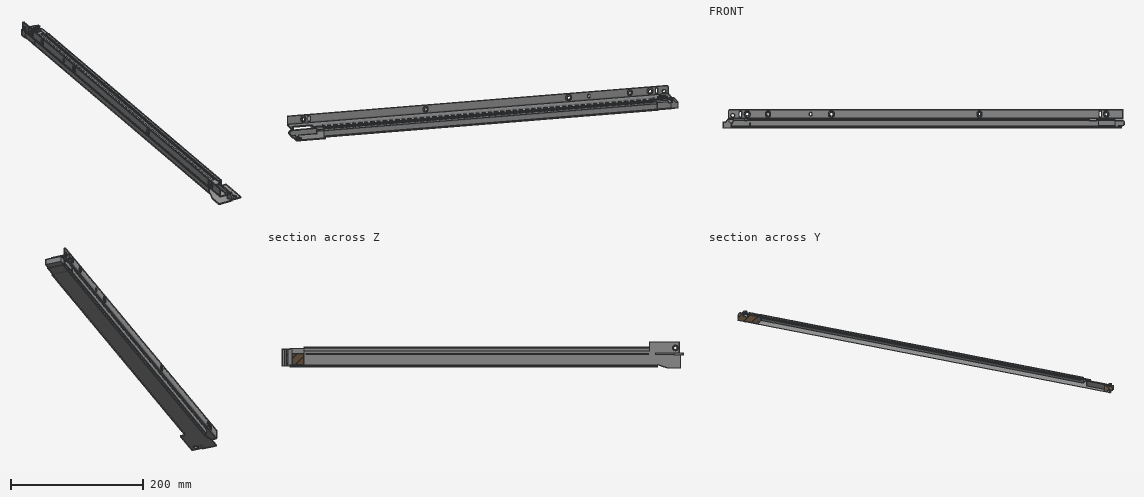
import math

import cadquery as cq

LENGTH = 606.5
HEIGHT = 28.0
SHEET = 1.5

UPPER_START = 8.0
UPPER_END = 604.0
FLANGE_TOP = 15.0
FLANGE_UNDER = FLANGE_TOP - SHEET
FLANGE_SLOPE_START = 16.5
FLANGE_REACH = 22.0
FLANGE_FALL = 1.5
FLANGE_EDGE = 0.5
LIP_BOTTOM = 11.5
LIP_START = 36.0
LIP_END = 554.0
WALL_BEND = 2.1
WALL_CORNER = 2.0
NOTCH_START = 569.5
NOTCH_END = 600.5
NOTCH_FRONT = 13.0

HOLE_Z = 21.0
ROUND_SCREW_X = (36.5, 164.0)
ROUND_SCREW_SIZE = (5.5, 5.5)
LONG_SCREW_X = (68.0, 387.5, 579.5)
LONG_SCREW_SIZE = (3.5, 5.5)
SINK_MARGIN = 2.1
SINK_DEPTH = SHEET / 2
TALL_SLOT_X = (26.0, 570.0)
TALL_SLOT_SIZE = (3.5, 9.0)
SHORT_SLOT_X = 132.0
SHORT_SLOT_SIZE = (3.5, 5.5)
PIN_HOLE_X = 14.5
PIN_HOLE_Z = 19.5
PIN_HOLE_DIAMETER = 5.5

LOWER_START = 11.5
LOWER_END = 602.5
LOWER_FRONT = 2.0
LOWER_REAR = 31.5
LOWER_TOP = 11.5
SLANT_RUN = 3.0
SLANT_RISE = 3.0
FRONT_INNER = LOWER_FRONT + SLANT_RUN
FRONT_NOTCH_RUN = 4.0
FRONT_WEB_END = 568.0
REAR_WEB_START = 33.5
REAR_LIP_FRONT = 26.0
REAR_BEND = 2.0
FRONT_SLOT_X = 40.5
FRONT_SLOT_Z = 5.5
FRONT_SLOT_SIZE = (2.0, 5.5)
FLARE_FULL = 582.5
TAB_START = 555.0
TAB_END = 600.5
TAB_REAR = 39.5
TAB_HOLE_X = 594.5
TAB_HOLE_Y = 30.5
TAB_HOLE_DIAMETER = 5.0
TAB_SINK_DIAMETER = 8.5
SINK_ANGLE = 90.0

STRIP_START = 564.0
STRIP_FRONT = 20.5
STRIP_BOTTOM = 3.5
STRIP_TOP = 12.0
TONGUE_REAR = 23.0
HEAD_FRONT = 19.5
HEAD_START = 592.5
HEAD_BOTTOM = 3.5
HEAD_TOP = 11.5
HEAD_ROUND = 3.0
FOOT_LENGTH = 5.0

CAP_FRONT = 3.0
CAP_REAR = 28.5
NOSE_EDGE_HEIGHT = 9.0
NOSE_STEP_X = 3.5
NOSE_SLOPE_END = 7.0
PASSAGE_START = 9.0
PASSAGE_END = 15.0
PASSAGE_BOTTOM = 10.0
PASSAGE_TOP = 13.0
TAIL_END = 33.0
TAIL_REAR = 30.0
TAIL_TOP = FLANGE_UNDER
STUD_X = 20.5
STUD_Y = 15.0
STUD_DIAMETER = 10.0
STUD_HOLE_DIAMETER = 3.5
FLANGE_HOLE_DIAMETER = 15.0


def box(x0, x1, y0, y1, z0, z1):
    """Axis-aligned block between two corners."""
    return cq.Workplane("XY").box(x1 - x0, y1 - y0, z1 - z0, centered=False).translate((x0, y0, z0))


def profile_along_x(points, start, end):
    """Extrude a closed outline of (y, z) points from one X station to another."""
    return cq.Workplane("YZ", origin=(start, 0, 0)).polyline(points).close().extrude(end - start)


def upright_opening(x, y, z, size, depth, taper=0.0):
    """Upright slot cutter running toward +Y; equal width and height give a round hole."""
    width, height = size
    plane = cq.Workplane("XZ", origin=(x, y, z))
    if height > width:
        outline = plane.slot2D(height, width, 90)
    else:
        outline = plane.circle(width / 2)
    return outline.extrude(-depth, taper=taper)


def screw_hole(x, size):
    """Hole through the wall with a countersink on the front face."""
    width, height = size
    sink_size = (width + 2 * SINK_MARGIN, height + 2 * SINK_MARGIN)
    sink_taper = math.degrees(math.atan(SINK_MARGIN / SINK_DEPTH))
    sink = upright_opening(x, 0, HOLE_Z, sink_size, SINK_DEPTH, sink_taper)
    return upright_opening(x, 0, HOLE_Z, size, SHEET).union(sink)


def wall_openings():
    """Cutters for every opening in the upright wall."""
    cutters = [screw_hole(x, ROUND_SCREW_SIZE) for x in ROUND_SCREW_X]
    cutters += [screw_hole(x, LONG_SCREW_SIZE) for x in LONG_SCREW_X]
    cutters += [upright_opening(x, 0, HOLE_Z, TALL_SLOT_SIZE, SHEET) for x in TALL_SLOT_X]
    cutters.append(upright_opening(SHORT_SLOT_X, 0, HOLE_Z, SHORT_SLOT_SIZE, SHEET))
    pin_hole_size = (PIN_HOLE_DIAMETER, PIN_HOLE_DIAMETER)
    cutters.append(upright_opening(PIN_HOLE_X, 0, PIN_HOLE_Z, pin_hole_size, SHEET))
    return cutters


def make_upper_rail():
    wall = box(UPPER_START, UPPER_END, 0, SHEET, FLANGE_UNDER, HEIGHT)
    wall = wall.edges("|Y and <X and >Z").chamfer(WALL_CORNER)
    flange = box(UPPER_START, UPPER_END, 0, FLANGE_SLOPE_START, FLANGE_UNDER, FLANGE_TOP)
    rail = wall.union(flange).edges("|X and <Y and <Z").fillet(WALL_BEND)

    for start, end in ((UPPER_START, LIP_START), (LIP_END, UPPER_END)):
        rail = rail.union(box(start, end, FLANGE_SLOPE_START, FLANGE_REACH, FLANGE_UNDER, FLANGE_TOP))

    edge_y = FLANGE_REACH - FLANGE_EDGE
    edge_z = FLANGE_TOP - FLANGE_FALL
    lip_section = [
        (FLANGE_SLOPE_START, FLANGE_UNDER),
        (FLANGE_SLOPE_START, FLANGE_TOP),
        (edge_y, edge_z),
        (FLANGE_REACH, edge_z - SHEET),
        (FLANGE_REACH, LIP_BOTTOM),
        (FLANGE_REACH - SHEET, LIP_BOTTOM),
        (FLANGE_REACH - SHEET, edge_z - SHEET),
    ]
    rail = rail.union(profile_along_x(lip_section, LIP_START, LIP_END))

    for cutter in wall_openings():
        rail = rail.cut(cutter)
    notch = box(NOTCH_START, NOTCH_END, NOTCH_FRONT, FLANGE_REACH, FLANGE_UNDER, FLANGE_TOP)
    stud_hole = (
        cq.Workplane("XY", origin=(STUD_X, STUD_Y, FLANGE_UNDER))
        .circle(FLANGE_HOLE_DIAMETER / 2)
        .extrude(SHEET)
    )
    return rail.cut(notch).cut(stud_hole)


def make_base():
    """Floor of the lower rail, flared at the far front and with a tab at the far rear."""
    outline = [
        (LOWER_START, FRONT_INNER),
        (FRONT_WEB_END, FRONT_INNER),
        (FLARE_FULL, 0),
        (LOWER_END, 0),
        (LOWER_END, TONGUE_REAR),
        (TAB_END, TONGUE_REAR),
        (TAB_END, TAB_REAR),
        (TAB_START, TAB_REAR),
        (TAB_START, LOWER_REAR),
        (REAR_WEB_START, LOWER_REAR),
        (REAR_WEB_START, TAIL_REAR),
        (LOWER_START, TAIL_REAR),
    ]
    base = cq.Workplane("XY").polyline(outline).close().extrude(SHEET)
    return (
        base.faces(">Z")
        .workplane(origin=(TAB_HOLE_X, TAB_HOLE_Y, 0))
        .cskHole(TAB_HOLE_DIAMETER, TAB_SINK_DIAMETER, SINK_ANGLE, depth=SHEET)
    )


def make_front_web():
    """Front web rising from the floor over a slanted lower edge."""
    section = [
        (FRONT_INNER, 0),
        (FRONT_INNER, SHEET),
        (LOWER_FRONT + SHEET, SLANT_RISE),
        (LOWER_FRONT + SHEET, LOWER_TOP),
        (LOWER_FRONT, LOWER_TOP),
        (LOWER_FRONT, SLANT_RISE),
    ]
    web = profile_along_x(section, LOWER_START, FRONT_WEB_END)
    end_cut = (
        cq.Workplane("XZ", origin=(LOWER_START, LOWER_FRONT, 0))
        .polyline([(0, SLANT_RISE), (FRONT_NOTCH_RUN, LOWER_TOP), (0, LOWER_TOP)])
        .close()
        .extrude(-SHEET)
    )
    slot = upright_opening(FRONT_SLOT_X, LOWER_FRONT, FRONT_SLOT_Z, FRONT_SLOT_SIZE, SHEET)
    return web.cut(end_cut).cut(slot)


def make_rear_web():
    """Rear web with an inward lip on top."""
    section = [
        (LOWER_REAR, 0),
        (LOWER_REAR, LOWER_TOP),
        (REAR_LIP_FRONT, LOWER_TOP),
        (REAR_LIP_FRONT, LOWER_TOP - SHEET),
        (LOWER_REAR - SHEET, LOWER_TOP - SHEET),
        (LOWER_REAR - SHEET, 0),
    ]
    web = profile_along_x(section, REAR_WEB_START, TAB_START)
    return web.edges("|X and >Y and >Z").fillet(REAR_BEND)


def make_tongue():
    """Stop tongue: a strip with a rounded head, standing on a foot."""
    strip = box(STRIP_START, HEAD_START, STRIP_FRONT, TONGUE_REAR, STRIP_BOTTOM, STRIP_TOP)
    head = box(HEAD_START, LENGTH, HEAD_FRONT, TONGUE_REAR, HEAD_BOTTOM, HEAD_TOP)
    head = head.edges("|Y and >X").fillet(HEAD_ROUND)
    foot = box(HEAD_START, HEAD_START + FOOT_LENGTH, HEAD_FRONT, TONGUE_REAR, 0, HEAD_BOTTOM)
    return strip.union(head).union(foot)


def make_lower_rail():
    return make_base().union(make_front_web()).union(make_rear_web()).union(make_tongue())


def make_cap():
    nose_outline = [
        (0, 0),
        (LOWER_START, 0),
        (LOWER_START, TAIL_TOP),
        (NOSE_SLOPE_END, TAIL_TOP),
        (NOSE_STEP_X, NOSE_EDGE_HEIGHT),
        (0, NOSE_EDGE_HEIGHT),
    ]
    nose = (
        cq.Workplane("XZ", origin=(0, CAP_FRONT, 0))
        .polyline(nose_outline)
        .close()
        .extrude(CAP_FRONT - CAP_REAR)
    )

    tail = box(LOWER_START, TAIL_END, FRONT_INNER, FLANGE_REACH, SHEET, TAIL_TOP)
    shelf = box(LOWER_START, TAIL_END, FLANGE_REACH, TAIL_REAR, SHEET, LOWER_TOP)
    passage = box(PASSAGE_START, PASSAGE_END, 0, TAIL_REAR, PASSAGE_BOTTOM, PASSAGE_TOP)

    stud = (
        cq.Workplane("XY", origin=(STUD_X, STUD_Y, TAIL_TOP))
        .circle(STUD_DIAMETER / 2)
        .circle(STUD_HOLE_DIAMETER / 2)
        .extrude(SHEET)
    )
    return nose.union(tail).union(shelf).cut(passage).union(stud)


upper_rail = make_upper_rail()
lower_rail = make_lower_rail()
cap = make_cap()
result = cq.Compound.makeCompound([body.solids().val() for body in (upper_rail, lower_rail, cap)])